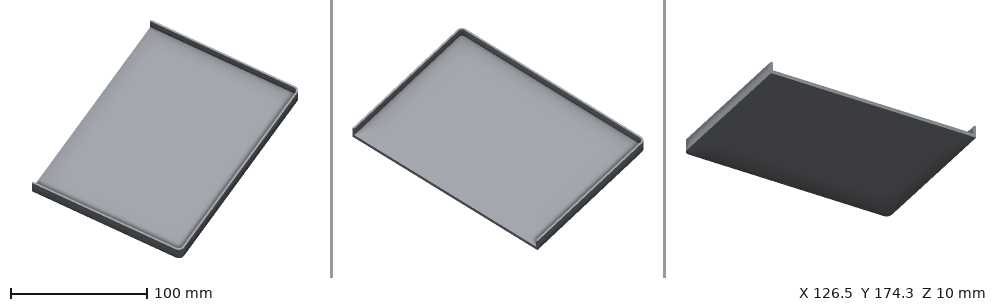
import cadquery as cq

length = 126.5
width = 174.3
height = 10.0

wall = 1.5
floor = 3.0
outer_radius = 4.5
inner_radius = outer_radius - wall


def rounded_end_block(block_length, block_width, block_height, radius):
    """Block starting at X = 0, centred on Y, with its two +X upright edges rounded."""
    block = cq.Workplane("XY").box(
        block_length, block_width, block_height, centered=(False, True, False)
    )
    return block.edges("|Z and >X").fillet(radius)


tray = rounded_end_block(length, width, height, outer_radius)
pocket = rounded_end_block(
    length - wall, width - 2 * wall, height - floor, inner_radius
).translate((0, 0, floor))

result = tray.cut(pocket)